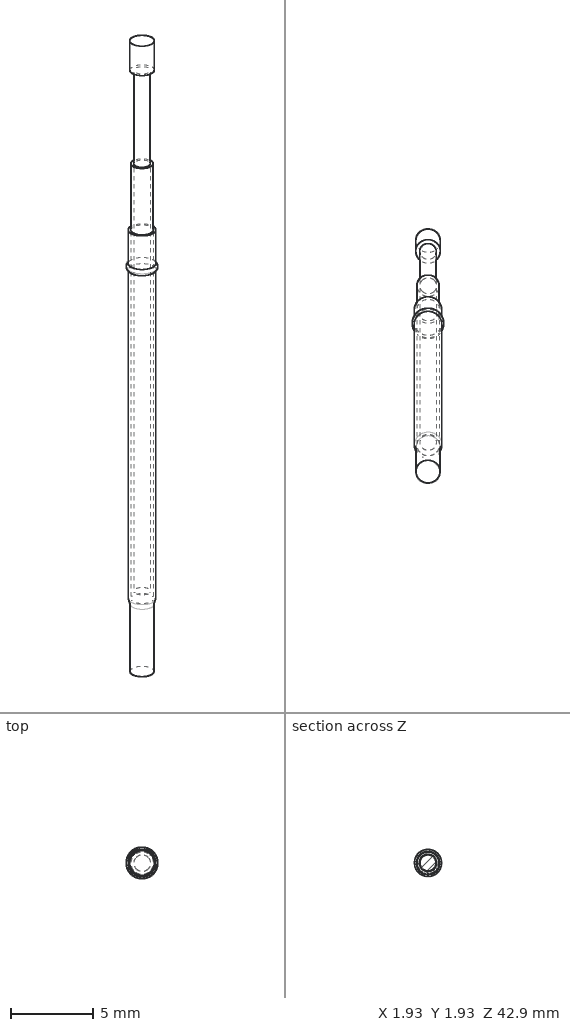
import cadquery as cq
import math

total_length = 42.85
tail_length = 4.6
shoulder_height = 0.37
receptacle_top = 30.0
barrel_top = 34.5

receptacle_diameter = 1.68
receptacle_bore = 1.38
tail_diameter = 1.47
ring_diameter = 1.93
ring_crest_z = 27.51
ring_half_height = 0.21

barrel_diameter = 1.36
barrel_bore = 1.02

rod_diameter = 1.0
head_diameter = 1.5
head_length = 2.0

receptacle_floor_z = tail_length + shoulder_height
barrel_floor_thickness = 0.5
barrel_floor_z = receptacle_floor_z + barrel_floor_thickness


def cylinder(diameter, bottom_z, top_z):
    """Upright cylinder on the Z axis between two heights."""
    return cq.Workplane("XY").workplane(offset=bottom_z).circle(diameter / 2).extrude(top_z - bottom_z)


def make_receptacle():
    """Turned outer tube: tail, conical shoulder, body with a rounded press ring, blind bore."""
    tail_radius = tail_diameter / 2
    body_radius = receptacle_diameter / 2
    crest_radius = ring_diameter / 2

    ring_height = crest_radius - body_radius
    arc_radius = (ring_half_height**2 + ring_height**2) / (2 * ring_height)
    flank_angle = math.asin(ring_half_height / arc_radius) / 2
    flank_radius = crest_radius - arc_radius * (1 - math.cos(flank_angle))
    flank_rise = arc_radius * math.sin(flank_angle)

    body = (
        cq.Workplane("XZ")
        .lineTo(tail_radius, 0)
        .lineTo(tail_radius, tail_length)
        .lineTo(body_radius, tail_length + shoulder_height)
        .lineTo(body_radius, ring_crest_z - ring_half_height)
        .threePointArc((flank_radius, ring_crest_z - flank_rise), (crest_radius, ring_crest_z))
        .threePointArc((flank_radius, ring_crest_z + flank_rise), (body_radius, ring_crest_z + ring_half_height))
        .lineTo(body_radius, receptacle_top)
        .lineTo(0, receptacle_top)
        .close()
        .revolve(360, (0, 0), (0, 1))
    )
    return body.cut(cylinder(receptacle_bore, receptacle_floor_z, receptacle_top))


def make_barrel():
    """Inner tube, closed at the bottom and open at the top."""
    tube = cylinder(barrel_diameter, receptacle_floor_z, barrel_top)
    return tube.cut(cylinder(barrel_bore, barrel_floor_z, barrel_top))


def make_plunger():
    """Sliding rod with the contact head at its top end."""
    head_bottom = total_length - head_length
    rod = cylinder(rod_diameter, barrel_floor_z, head_bottom)
    return rod.union(cylinder(head_diameter, head_bottom, total_length))


receptacle = make_receptacle()
barrel = make_barrel()
plunger = make_plunger()

result = cq.Compound.makeCompound([receptacle.val(), barrel.val(), plunger.val()])